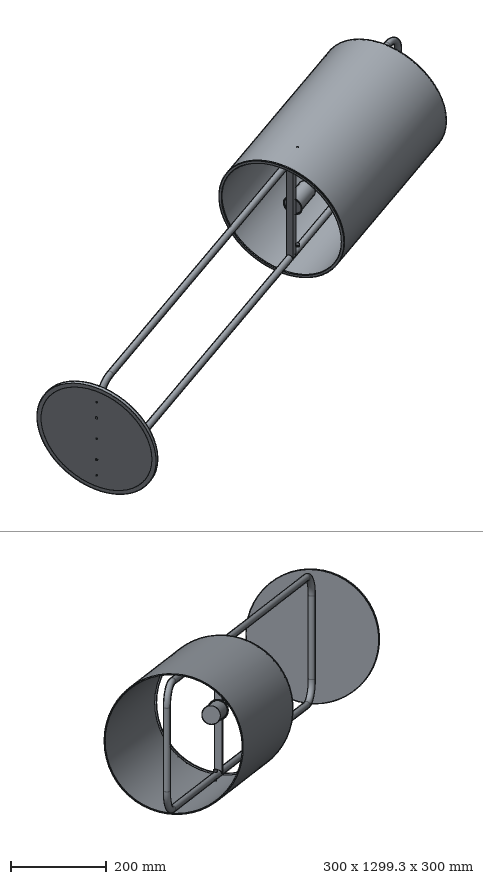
import cadquery as cq


FULL_LENGTH = 1299.25

BASE_RADIUS = 143.0
BASE_THICKNESS = 8.0
COVER_RADIUS = 133.0
COVER_THICKNESS = 4.4
SLOT_LENGTH = 208.0
SLOT_WIDTH = 12.0
SMALL_HOLE_DIAMETER = 3.0
LARGE_HOLE_DIAMETER = 5.0
SMALL_HOLE_HEIGHTS = (-102.5, 0.0, 102.5)
LARGE_HOLE_HEIGHTS = (-58.5, 58.5)

TUBE_RADIUS = 7.5
TUBE_SINK = 3.5
ROD_HEIGHT = 136.0
BEND_RADIUS = 47.0
FRAME_START = BASE_THICKNESS - TUBE_SINK + TUBE_RADIUS
FRAME_END = FULL_LENGTH - TUBE_RADIUS
FRAME_LENGTH = FRAME_END - FRAME_START
FRAME_CENTRE = (FRAME_START + FRAME_END) / 2

SHADE_RADIUS = 150.0
SHADE_START = 791.5
SHADE_LENGTH = 440.0
SHADE_WALL = 2.5
RIM_LENGTH = 3.5
RIM_WALL = 6.0
RIM_END = SHADE_START + RIM_LENGTH
SHADE_END = SHADE_START + SHADE_LENGTH

BAR_WIDTH = 16.0
BAR_DEPTH = 12.0
BAR_CENTRE = SHADE_START + 42.0
BAR_BACK = BAR_CENTRE + BAR_DEPTH / 2
HOLDER_RADIUS = 22.0
HOLDER_LENGTH = 2.0
LAMP_RADIUS = 20.0
LAMP_LENGTH = 60.0

SCREW_PLACE = SHADE_START + 70.0
SCREW_HEAD_RADIUS = 4.0
SCREW_HEAD_HEIGHT = 5.0
SCREW_SHANK_RADIUS = 2.0
ROD_INNER_SIDE = ROD_HEIGHT - TUBE_RADIUS
SCREW_TIP = ((SHADE_RADIUS - SHADE_WALL) ** 2 - SCREW_SHANK_RADIUS**2) ** 0.5
SCREW_SHANK_LENGTH = SCREW_TIP - ROD_INNER_SIDE


def cylinder(radius, start, end):
    """Solid cylinder on the Y axis from start to end."""
    return cq.Workplane("XZ", origin=(0, start, 0)).circle(radius).extrude(start - end)


def ring(outer_radius, wall, start, end):
    """Hollow cylinder on the Y axis from start to end."""
    return cylinder(outer_radius, start, end).cut(cylinder(outer_radius - wall, start, end))


def make_screw(side):
    """Screw along Z through the upper (side = 1) or lower (side = -1) rod, head towards the lamp axis."""
    head_start = cq.Workplane("XY", origin=(0, SCREW_PLACE, side * (ROD_INNER_SIDE - SCREW_HEAD_HEIGHT)))
    head = head_start.circle(SCREW_HEAD_RADIUS).extrude(side * SCREW_HEAD_HEIGHT)
    shank_start = cq.Workplane("XY", origin=(0, SCREW_PLACE, side * ROD_INNER_SIDE))
    shank = shank_start.circle(SCREW_SHANK_RADIUS).extrude(side * SCREW_SHANK_LENGTH)
    return head.union(shank)


def make_frame():
    """Rounded rectangular loop of tube in the YZ plane."""
    loop_sheet = cq.Sketch().rect(FRAME_LENGTH, 2 * ROD_HEIGHT).vertices().fillet(BEND_RADIUS)
    loop_plane = cq.Workplane("YZ", origin=(0, FRAME_CENTRE, 0))
    path = loop_plane.placeSketch(loop_sheet).extrude(1).faces("<X").wires()
    section = cq.Workplane("XZ", origin=(0, FRAME_CENTRE, ROD_HEIGHT)).circle(TUBE_RADIUS)
    return section.sweep(path)


def make_base(tube_loop):
    """Floor plate with a recess for the cover, a slot under the tube and a groove for the tube."""
    plate = cylinder(BASE_RADIUS, 0, BASE_THICKNESS)
    recess = cylinder(COVER_RADIUS, 0, COVER_THICKNESS)
    slot_plane = cq.Workplane("XZ", origin=(0, COVER_THICKNESS, 0))
    slot = slot_plane.slot2D(SLOT_LENGTH, SLOT_WIDTH, 90).extrude(COVER_THICKNESS - BASE_THICKNESS)
    return plate.cut(recess).cut(slot).cut(tube_loop)


def make_cover():
    """Round cover flush with the underside of the floor plate, with a row of holes along Z."""
    disc = cylinder(COVER_RADIUS, 0, COVER_THICKNESS)
    hole_rows = (
        (SMALL_HOLE_DIAMETER, SMALL_HOLE_HEIGHTS),
        (LARGE_HOLE_DIAMETER, LARGE_HOLE_HEIGHTS),
    )
    for diameter, heights in hole_rows:
        for height in heights:
            hole = cylinder(diameter / 2, 0, COVER_THICKNESS).translate((0, 0, height))
            disc = disc.cut(hole)
    return disc


def make_crossbar(tube_loop):
    """Rectangular bar along Z whose ends are shaped to sit against the rods."""
    bar = cq.Workplane("XY").box(BAR_WIDTH, BAR_DEPTH, 2 * ROD_HEIGHT)
    return bar.translate((0, BAR_CENTRE, 0)).cut(tube_loop)


tube_loop = make_frame()
base = make_base(tube_loop)
cover = make_cover()
crossbar = make_crossbar(tube_loop)

screws = [make_screw(side) for side in (1, -1)]
frame = tube_loop
for screw in screws:
    frame = frame.cut(screw)

rim = ring(SHADE_RADIUS, RIM_WALL, SHADE_START, RIM_END)
shade = ring(SHADE_RADIUS, SHADE_WALL, RIM_END, SHADE_END)

holder_end = BAR_BACK + HOLDER_LENGTH
lamp_holder = cylinder(HOLDER_RADIUS, BAR_BACK, holder_end)
lamp = cylinder(LAMP_RADIUS, holder_end, holder_end + LAMP_LENGTH)

result = cq.Compound.makeCompound(
    [
        base.val(),
        cover.val(),
        frame.val(),
        rim.val(),
        shade.val(),
        crossbar.val(),
        lamp_holder.val(),
        lamp.val(),
        *[screw.val() for screw in screws],
    ]
)